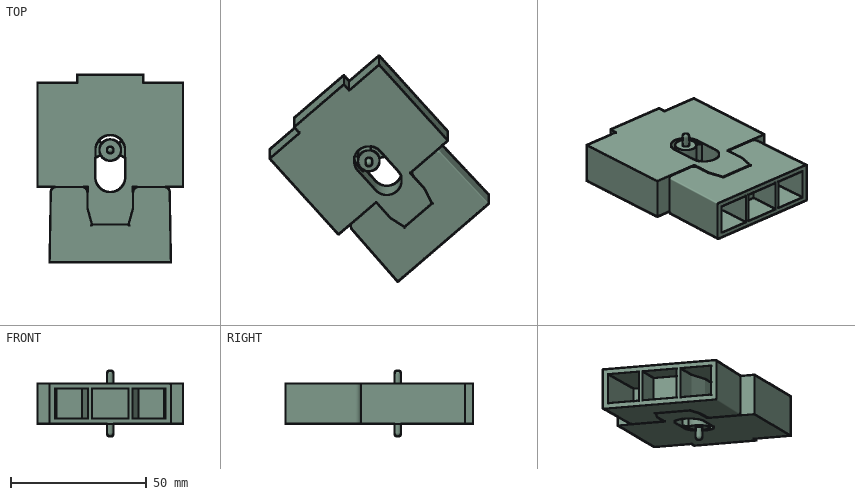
import cadquery as cq
import math

thickness = 15.0

housing_width = 54.0
housing_length = 38.5
housing_front_y = -13.6
housing_back_y = housing_front_y + housing_length
tab_width = 24.5
tab_length = 3.0

tongue_half_width = 8.4
tongue_tip_half_width = 6.75
tongue_length = 14.0
tongue_straight = 8.0
tongue_bend_y = housing_front_y - tongue_straight
tongue_tip_y = housing_front_y - tongue_length

slot_width = 11.0
slot_center_distance = 10.0

hub_diameter = 8.0
pin_diameter = 2.5
pin_length = 24.5
arm_front_angle = -28.0
arm_back_angle = 39.5
arm_embedding = 1.0
arm_reach = slot_width / 2 + arm_embedding
arm_height = 7.0

plug_length = 28.0
plug_front_y = housing_front_y - plug_length
plug_front_half_width = 22.5
plug_draft_angle = 1.0
plug_draft_slope = math.tan(math.radians(plug_draft_angle))
plug_back_half_width = plug_front_half_width - plug_length * plug_draft_slope
plug_corner_radius = 2.0
plug_edge_round = 0.5
wall = 2.0
side_wall = 2.1

pocket_height = thickness - 2 * wall
center_pocket_width = 13.6
center_pocket_depth = plug_length - tongue_length - wall
side_pocket_inner_x = 8.2
side_pocket_deep_inner_x = 10.5
side_pocket_depth = plug_length - wall


def slab(outline, height=thickness):
    """Extrude closed outline points to a height centred on Z = 0."""
    return cq.Workplane("XY").polyline(outline).close().extrude(height / 2, both=True)


def mirrored(points):
    """Close an outline given by its +X half, listed from one end of the Y axis to the other."""
    return points + [(-x, y) for x, y in reversed(points)]


def tongue_outline():
    return mirrored([
        (tongue_half_width, housing_front_y),
        (tongue_half_width, tongue_bend_y),
        (tongue_tip_half_width, tongue_tip_y),
    ])


def make_hub():
    """Round hub with a round-ended pin standing out of both faces."""
    hub = cq.Workplane("XY").circle(hub_diameter / 2).extrude(thickness / 2, both=True)
    tip_center_z = (pin_length - pin_diameter) / 2
    pin = cq.Workplane("XY").circle(pin_diameter / 2).extrude(tip_center_z, both=True)
    for side in (1, -1):
        tip = cq.Workplane("XY").sphere(pin_diameter / 2)
        pin = pin.union(tip.translate((0, 0, side * tip_center_z)))
    return hub.union(pin)


def make_arms():
    """Two staggered wedge arms whose sides spread radially from the pin axis into the slot walls."""
    front_y = arm_reach * math.tan(math.radians(arm_front_angle))
    back_y = arm_reach * math.tan(math.radians(arm_back_angle))
    arms = cq.Workplane("XY")
    for side in (1, -1):
        arm = (
            cq.Workplane("XY")
            .polyline([(0, 0), (side * arm_reach, front_y), (side * arm_reach, back_y)])
            .close()
            .extrude(side * arm_height)
        )
        arms = arms.add(arm)
    return arms.combine()


def make_housing():
    """Slotted slab with its rear tab, front tongue, and the hub held in the slot by the arms."""
    body = slab(mirrored([
        (tab_width / 2, housing_back_y + tab_length),
        (tab_width / 2, housing_back_y),
        (housing_width / 2, housing_back_y),
        (housing_width / 2, housing_front_y),
    ]))
    tongue = slab(tongue_outline())
    slot = (
        cq.Workplane("XY")
        .center(0, -slot_center_distance / 2)
        .slot2D(slot_center_distance + slot_width, slot_width, 90)
        .extrude(thickness / 2, both=True)
    )
    return body.union(tongue).cut(slot).union(make_arms()).union(make_hub())


def make_side_pocket(side):
    """Pocket reaching into one leg of the plug, following the tongue taper on its inner side."""
    back_y = plug_front_y + side_pocket_depth
    taper_start_y = tongue_tip_y - wall
    front_outer_x = plug_front_half_width - side_wall
    back_outer_x = front_outer_x - side_pocket_depth * plug_draft_slope
    outline = [
        (side_pocket_inner_x, plug_front_y),
        (front_outer_x, plug_front_y),
        (back_outer_x, back_y),
        (side_pocket_deep_inner_x, back_y),
        (side_pocket_deep_inner_x, tongue_bend_y),
        (side_pocket_inner_x, taper_start_y),
    ]
    return slab([(side * x, y) for x, y in outline], pocket_height)


def make_plug():
    """Pocketed shell with two legs that straddle the tongue and touch the housing front."""
    body = slab(mirrored([
        (plug_front_half_width, plug_front_y),
        (plug_back_half_width, housing_front_y),
    ]))
    body = body.cut(slab(tongue_outline()))
    body = body.edges("|Z and >Y").fillet(plug_corner_radius)
    body = body.edges("(<Z or >Z) and (not <Y)").fillet(plug_edge_round)
    center_pocket = (
        cq.Workplane("XY")
        .box(center_pocket_width, center_pocket_depth, pocket_height)
        .translate((0, plug_front_y + center_pocket_depth / 2, 0))
    )
    body = body.cut(center_pocket)
    for side in (1, -1):
        body = body.cut(make_side_pocket(side))
    return body


housing = make_housing()
plug = make_plug()

result = cq.Compound.makeCompound([housing.val(), plug.val()])